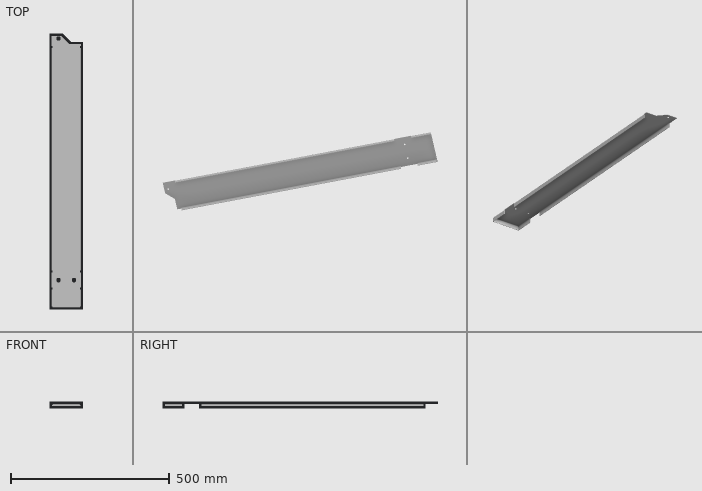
import cadquery as cq

WIDTH = 100.0
LENGTH = 864.5
HEIGHT = 15.0

THICKNESS = 1.5
INNER_RADIUS = 2.0
OUTER_RADIUS = INNER_RADIUS + THICKNESS

TAB_WIDTH = 37.0
TAB_LENGTH = 26.0
SHOULDER_Y = LENGTH - TAB_LENGTH

SHORT_FLANGE = (0.0, 63.5)
LONG_FLANGE = (116.5, 825.0)

HOLE_DIAMETER = 5.5
HOLE_INSET = 25.5
NEAR_HOLES_Y = 89.5
TAB_HOLE_INSET = 12.5
TAB_HOLE_Y = LENGTH - TAB_HOLE_INSET


def make_plate():
    """Flat sheet with the sloped tab at its far end."""
    return (
        cq.Workplane("XY")
        .moveTo(0, 0)
        .lineTo(WIDTH, 0)
        .lineTo(WIDTH, SHOULDER_Y)
        .lineTo(TAB_WIDTH + TAB_LENGTH, SHOULDER_Y)
        .lineTo(TAB_WIDTH, LENGTH)
        .lineTo(0, LENGTH)
        .close()
        .extrude(-THICKNESS)
    )


def make_flange(length):
    """Downward flange on the X = 0 edge with its bend, running along +Y from Y = 0."""
    return (
        cq.Workplane("XZ")
        .moveTo(OUTER_RADIUS, 0)
        .radiusArc((0, -OUTER_RADIUS), -OUTER_RADIUS)
        .lineTo(0, -HEIGHT)
        .lineTo(THICKNESS, -HEIGHT)
        .lineTo(THICKNESS, -OUTER_RADIUS)
        .radiusArc((OUTER_RADIUS, -THICKNESS), INNER_RADIUS)
        .close()
        .extrude(-length)
    )


def make_edge_strip(length):
    """Flat edge strip that a bend replaces, along the X = 0 edge from Y = 0."""
    strip = cq.Workplane("XY").box(OUTER_RADIUS, length, THICKNESS, centered=False)
    return strip.translate((0, 0, -THICKNESS))


def place_left(shape, start):
    """Move a shape along the X = 0 edge to its starting Y."""
    return shape.translate((0, start, 0))


def place_right(shape, start):
    """Mirror a left-edge shape onto the X = WIDTH edge."""
    return place_left(shape, start).mirror("YZ", (WIDTH / 2, 0, 0))


def place_end(shape):
    """Turn a shape from the X = 0 edge onto the Y = 0 edge, between the side bends."""
    return shape.rotate((0, 0, 0), (0, 0, 1), 90).translate((WIDTH - OUTER_RADIUS, 0, 0))


def fold_sides(body):
    """Replace the flat edge strips with flanges on both long sides."""
    for start, end in (SHORT_FLANGE, LONG_FLANGE):
        length = end - start
        for place in (place_left, place_right):
            body = body.cut(place(make_edge_strip(length), start))
            body = body.union(place(make_flange(length), start))
    return body


def make_end_wall():
    """Straight part of the end flange, reaching past its bend to close both corners."""
    wall_height = HEIGHT - OUTER_RADIUS
    wall = cq.Workplane("XY").box(WIDTH, THICKNESS, wall_height, centered=False)
    return wall.translate((0, 0, -HEIGHT))


def fold_end(body):
    """Fold the flange along the Y = 0 edge."""
    bend_length = WIDTH - 2 * OUTER_RADIUS
    body = body.cut(place_end(make_edge_strip(bend_length)))
    return body.union(place_end(make_flange(bend_length))).union(make_end_wall())


def drill_holes(body):
    """Two holes near the closed end and one in the tab."""
    centers = [
        (HOLE_INSET, NEAR_HOLES_Y),
        (WIDTH - HOLE_INSET, NEAR_HOLES_Y),
        (HOLE_INSET, TAB_HOLE_Y),
    ]
    drills = cq.Workplane("XY").pushPoints(centers).circle(HOLE_DIAMETER / 2).extrude(-THICKNESS)
    return body.cut(drills)


result = drill_holes(fold_end(fold_sides(make_plate())))